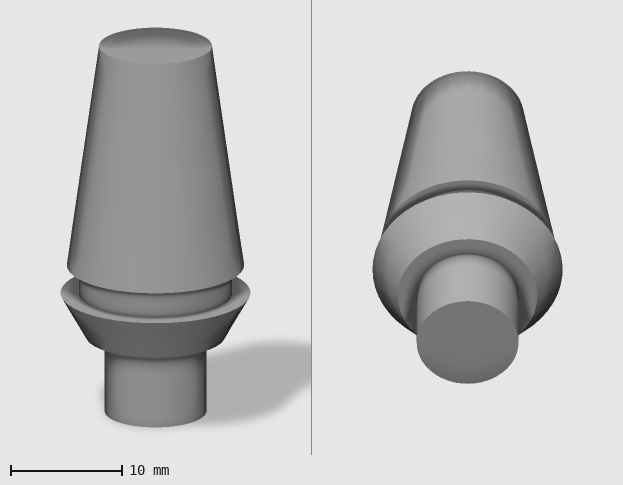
import cadquery as cq

total_height = 34.7

stem_diameter = 9.15
stem_height = 7.2

collar_bottom_diameter = 12.55
collar_top_diameter = 17.1
collar_height = 4.05

neck_diameter = 13.8
neck_height = 2.65

cone_bottom_diameter = 15.95
cone_top_diameter = 10.15

collar_bottom = stem_height
collar_top = collar_bottom + collar_height
cone_bottom = collar_top + neck_height

half_profile = (
    cq.Workplane("XZ")
    .moveTo(0, 0)
    .lineTo(stem_diameter / 2, 0)
    .lineTo(stem_diameter / 2, collar_bottom)
    .lineTo(collar_bottom_diameter / 2, collar_bottom)
    .lineTo(collar_top_diameter / 2, collar_top)
    .lineTo(neck_diameter / 2, collar_top)
    .lineTo(neck_diameter / 2, cone_bottom)
    .lineTo(cone_bottom_diameter / 2, cone_bottom)
    .lineTo(cone_top_diameter / 2, total_height)
    .lineTo(0, total_height)
    .close()
)

result = half_profile.revolve(360, (0, 0, 0), (0, 1, 0))